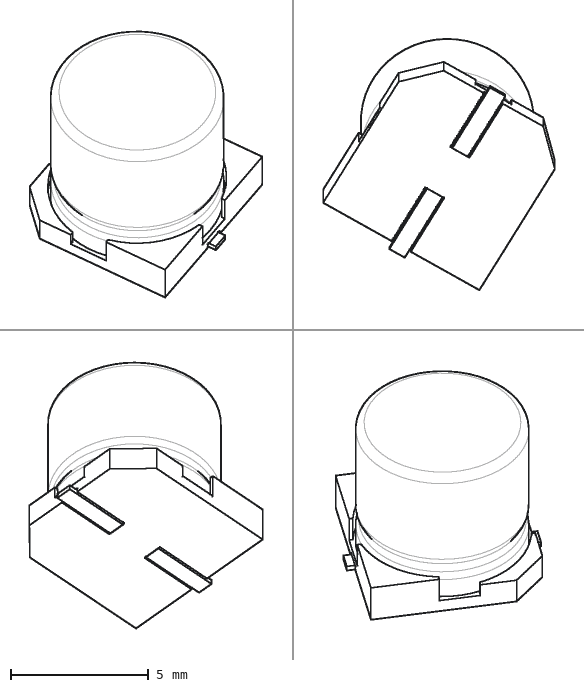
import cadquery as cq
import math

terminal_span = 7.2
terminal_length = 2.7
terminal_width = 0.65
terminal_thickness = 0.2
standoff = 0.02

base_size = 6.6
base_chamfer = 1.2
floor_height = 0.5
low_wall_height = 1.0
high_wall_height = 1.5
high_wall_start = 0.76
notch_width = 2 * high_wall_start
terminal_slot_width = 0.8

can_radius = 3.15
can_clearance = 0.1
can_top = 6.12
can_top_fillet = 0.3
groove_height = 1.8
groove_depth = 0.165
groove_half_width = 0.475
groove_throat_half_width = 0.19

floor_z = standoff + floor_height
recess_radius = can_radius + can_clearance


def box(x_min, x_max, width, z_min, z_max):
    """Box between two X positions and two heights, centred on Y = 0."""
    length = x_max - x_min
    block = cq.Workplane("XY").box(length, width, z_max - z_min, centered=(False, True, False))
    return block.translate((x_min, 0, z_min))


def make_base():
    """Square base with two chamfered corners, a round recess and four side notches."""
    half = base_size / 2
    low_top = standoff + low_wall_height
    high_top = standoff + high_wall_height

    base = box(-half, half, base_size, standoff, low_top)
    base = base.union(box(high_wall_start, half, base_size, low_top, high_top))
    base = base.edges("|Z and <X").chamfer(base_chamfer)

    recess = cq.Workplane("XY").workplane(offset=floor_z).circle(recess_radius).extrude(high_wall_height)
    notch_along_x = box(-half, half, notch_width, floor_z, high_top)
    notch_along_y = box(-notch_width / 2, notch_width / 2, base_size, floor_z, high_top)
    return base.cut(recess).cut(notch_along_x).cut(notch_along_y)


def make_can():
    """Revolved can with a rounded top edge and a smooth crimp groove near its foot."""
    turn = 2 * math.atan(groove_depth / groove_half_width)
    shoulder_radius = (groove_half_width - groove_throat_half_width) / math.sin(turn)
    shoulder_drop = shoulder_radius * (1 - math.cos(turn))
    shoulder_mid_drop = shoulder_radius * (1 - math.cos(turn / 2))
    shoulder_mid_offset = groove_half_width - shoulder_radius * math.sin(turn / 2)

    throat_edge_r = can_radius - shoulder_drop
    shoulder_mid_r = can_radius - shoulder_mid_drop
    throat_r = can_radius - groove_depth

    profile = (
        cq.Workplane("XZ")
        .moveTo(0, floor_z)
        .lineTo(can_radius, floor_z)
        .lineTo(can_radius, groove_height - groove_half_width)
        .threePointArc(
            (shoulder_mid_r, groove_height - shoulder_mid_offset),
            (throat_edge_r, groove_height - groove_throat_half_width),
        )
        .threePointArc(
            (throat_r, groove_height),
            (throat_edge_r, groove_height + groove_throat_half_width),
        )
        .threePointArc(
            (shoulder_mid_r, groove_height + shoulder_mid_offset),
            (can_radius, groove_height + groove_half_width),
        )
        .lineTo(can_radius, can_top)
        .lineTo(0, can_top)
        .close()
    )
    can = profile.revolve(360, (0, 0, 0), (0, 1, 0))
    return can.faces(">Z").edges().fillet(can_top_fillet)


def make_terminal_strip(width, z_min, side):
    """Flat strip under the base, reaching out past the -X (side = -1) or +X (side = 1) edge."""
    outer = terminal_span / 2
    inner = outer - terminal_length
    x_min, x_max = sorted((side * inner, side * outer))
    return box(x_min, x_max, width, z_min, terminal_thickness)


result = make_base()
for side in (-1, 1):
    slot = make_terminal_strip(terminal_slot_width, standoff, side)
    terminal = make_terminal_strip(terminal_width, 0, side)
    result = result.cut(slot).union(terminal)
result = result.union(make_can())